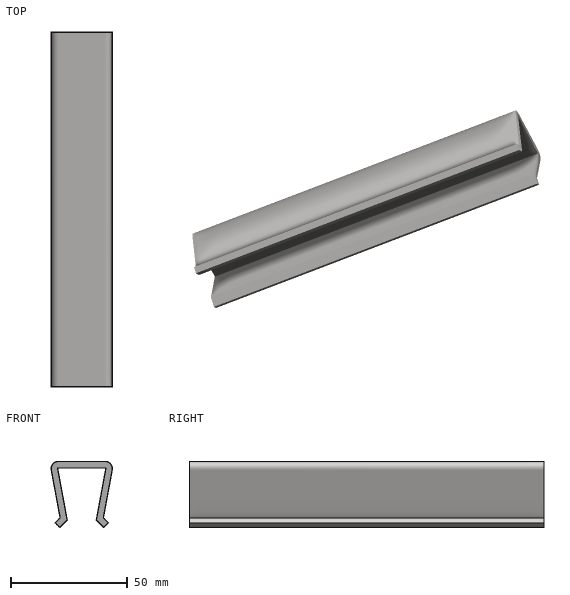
import cadquery as cq
import math

length = 152.4
width = 26.4
height = 28.5
thickness = 2.9
corner_radius = 3.2
wall_lean = math.radians(10.5)
lip_angle = math.radians(45)
lip_drop = 3.2

top_z = height / 2
bottom_z = -height / 2


def shift(point, distance, angle):
    """Move a point a distance along an angle measured from +X."""
    return (point[0] + distance * math.cos(angle), point[1] + distance * math.sin(angle))


corner_center = (width / 2 - corner_radius, top_z - corner_radius)
corner_start = (corner_center[0], top_z)
corner_end = shift(corner_center, corner_radius, -wall_lean)
corner_mid = shift(corner_center, corner_radius, (math.pi / 2 - wall_lean) / 2)

inner_wall_point = shift(corner_end, -thickness, -wall_lean)


def inner_wall_at(z):
    """Point of the inner wall face at height z."""
    return (inner_wall_point[0] - (inner_wall_point[1] - z) * math.tan(wall_lean), z)


inner_corner = inner_wall_at(top_z - thickness)
inner_bend = inner_wall_at(bottom_z + lip_drop)

miter_angle = (lip_angle - wall_lean) / 2
miter_length = thickness / math.cos((lip_angle + wall_lean) / 2)
outer_bend = shift(inner_bend, miter_length, miter_angle)

lip_tip = (inner_bend[0] + lip_drop * math.tan(lip_angle), bottom_z)
lip_outer = shift(lip_tip, thickness, lip_angle)


def mirrored(point):
    """Matching point on the -X side."""
    return (-point[0], point[1])


right_side = [outer_bend, lip_outer, lip_tip, inner_bend, inner_corner]
left_side = [mirrored(point) for point in reversed(right_side)]

profile = (
    cq.Workplane("XZ")
    .moveTo(*mirrored(corner_start))
    .lineTo(*corner_start)
    .threePointArc(corner_mid, corner_end)
)
for point in right_side + left_side:
    profile = profile.lineTo(*point)
profile = (
    profile.lineTo(*mirrored(corner_end))
    .threePointArc(mirrored(corner_mid), mirrored(corner_start))
    .close()
)

result = profile.extrude(length / 2, both=True)